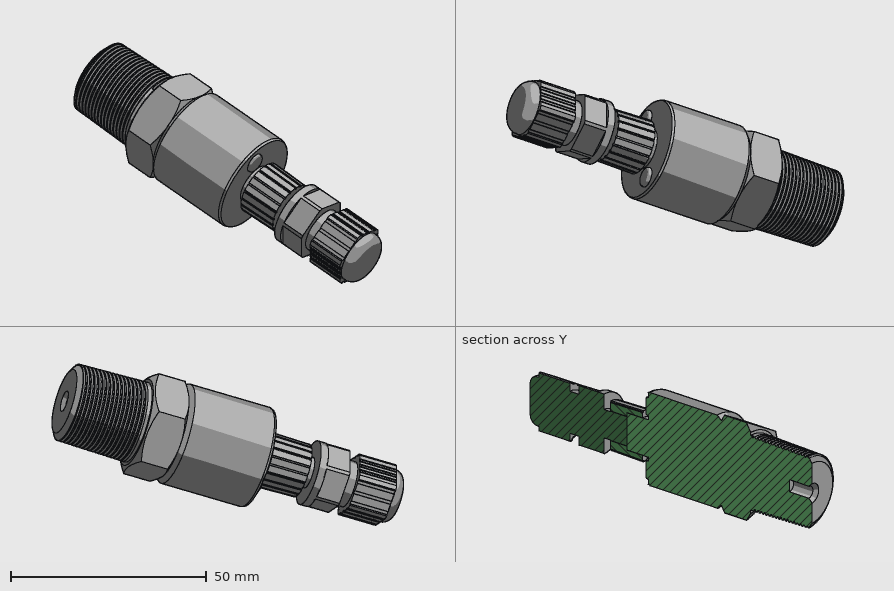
import cadquery as cq
import math


THREAD_END = 19.7
HEX_START = 19.9
HEX_END = 29.5
SLEEVE_END = 53.3
COUPLING_START = 55.0
COUPLING_END = 65.6
FLANGE_START = 67.5
FLANGE_END = 69.5
GLAND_HEX_END = 75.9
CAP_START = 78.6
CAP_END = 88.8
TOTAL_LENGTH = 91.7

TIP_DIAMETER = 17.0
TIP_CHAMFER_LENGTH = 1.1
CREST_RADIUS_TIP = 10.2
CREST_RADIUS_END = 10.6
THREAD_TURNS = 17.5
THREAD_DEPTH = 0.55
GROOVE_MOUTH = 0.7
GROOVE_OVERSHOOT = 0.2
PORT_DIAMETER = 3.3
PORT_MOUTH_DIAMETER = 5.4
PORT_DEPTH = 7.3
HEX_CORNERS = 27.7
HEX_FRONT_FACE_RADIUS = 11.5
HEX_CHAMFER_ANGLE = 30.0
SLEEVE_DIAMETER = 26.5
SLEEVE_FRONT_CHAMFER = 1.2
SLEEVE_REAR_CHAMFER_LENGTH = 0.6
SLEEVE_REAR_CHAMFER_DROP = 0.3
BUTTON_DIAMETER = 5.2
BUTTON_HEIGHT = 0.8
BUTTON_FILLET = 0.6
BUTTON_OFFSET = 9.0
SOCKET_DIAMETER = 10.7

COUPLING_START_DIAMETER = 14.5
COUPLING_END_DIAMETER = 14.0
KNURL_COUNT = 20
KNURL_WIDTH = 0.5
KNURL_DEPTH = 0.4

STEM_DIAMETER = 8.2
FLANGE_DIAMETER = 17.0
GLAND_HEX_FLATS = 15.1
GLAND_NECK_DIAMETER = 12.0
CAP_FLATS = 14.9
CAP_CORNER_DIAMETER = 16.5
CAP_GROOVE_WIDTH = 0.8
CAP_GROOVE_DEPTH = 0.3
CAP_GROOVES_PER_FLAT = 3
CLOSE_GROOVE_PITCH = 1.9
WIDE_GROOVE_PITCH = 2.8
DOME_DIAMETER = 14.0
DOME_FILLET = 2.6

MEETING_PLANE = (COUPLING_START + COUPLING_END) / 2


def cylinder(start, end, diameter):
    """Round bar on the X axis."""
    return cq.Workplane("YZ", origin=(start, 0, 0)).circle(diameter / 2).extrude(end - start)


def hexagon(start, end, corners):
    """Hexagonal bar on the X axis with two corners on +Z and -Z."""
    points = [
        (corners / 2 * math.sin(math.radians(60 * i)), corners / 2 * math.cos(math.radians(60 * i)))
        for i in range(6)
    ]
    return cq.Workplane("YZ", origin=(start, 0, 0)).polyline(points).close().extrude(end - start)


def revolved(profile):
    """Solid of revolution about X from (x, radius) points, closed along the axis."""
    points = [(profile[0][0], 0), *profile, (profile[-1][0], 0)]
    return cq.Workplane("XY").polyline(points).close().revolve(360, (0, 0, 0), (1, 0, 0))


def rounded_hexagon(start, end, flats, corner_diameter):
    """Hexagonal bar whose corners are turned down to a round diameter."""
    corners = flats / math.cos(math.radians(30))
    return hexagon(start, end, corners).intersect(cylinder(start, end, corner_diameter))


def thread_groove():
    """V groove along a helix that widens with the taper of the thread."""
    slope = (CREST_RADIUS_END - CREST_RADIUS_TIP) / (THREAD_END - TIP_CHAMFER_LENGTH)
    profile_depth = THREAD_DEPTH + GROOVE_OVERSHOOT
    half_width = GROOVE_MOUTH / 2 * profile_depth / THREAD_DEPTH
    helix_start = TIP_CHAMFER_LENGTH / 2
    helix_length = THREAD_END - half_width - helix_start
    start_radius = CREST_RADIUS_TIP - slope * (TIP_CHAMFER_LENGTH - helix_start)
    path = cq.Wire.makeHelix(
        helix_length / THREAD_TURNS, helix_length, start_radius, angle=math.degrees(math.atan(slope))
    )
    groove = (
        cq.Workplane("ZX")
        .moveTo(0, start_radius - THREAD_DEPTH)
        .lineTo(half_width, start_radius + GROOVE_OVERSHOOT)
        .lineTo(-half_width, start_radius + GROOVE_OVERSHOOT)
        .close()
        .sweep(cq.Workplane(path), isFrenet=True)
    )
    return groove.rotate((0, 0, 0), (0, 1, 0), 90).translate((helix_start, 0, 0))


def make_threaded_end():
    """Tapered threaded plug with a chamfered tip and a blind pressure port."""
    thread = revolved([
        (TIP_CHAMFER_LENGTH, CREST_RADIUS_TIP),
        (THREAD_END, CREST_RADIUS_END),
        (HEX_START, CREST_RADIUS_END),
    ]).cut(thread_groove())
    tip = revolved([
        (0, TIP_DIAMETER / 2),
        (TIP_CHAMFER_LENGTH, CREST_RADIUS_TIP),
    ])
    mouth_depth = (PORT_MOUTH_DIAMETER - PORT_DIAMETER) / 2
    port = revolved([
        (0, PORT_MOUTH_DIAMETER / 2),
        (mouth_depth, PORT_DIAMETER / 2),
        (PORT_DEPTH, PORT_DIAMETER / 2),
    ])
    return thread.union(tip).cut(port)


def make_housing_hexagon():
    """Wrench hexagon with conical chamfers at both ends."""
    corner_radius = HEX_CORNERS / 2
    rear_face_radius = SLEEVE_DIAMETER / 2 - SLEEVE_FRONT_CHAMFER
    slope = math.tan(math.radians(HEX_CHAMFER_ANGLE))
    envelope = revolved([
        (HEX_START, HEX_FRONT_FACE_RADIUS),
        (HEX_START + (corner_radius - HEX_FRONT_FACE_RADIUS) * slope, corner_radius),
        (HEX_END - (corner_radius - rear_face_radius) * slope, corner_radius),
        (HEX_END, rear_face_radius),
    ])
    return hexagon(HEX_START, HEX_END, HEX_CORNERS).intersect(envelope)


def make_sleeve():
    """Round sleeve, chamfered at both ends."""
    radius = SLEEVE_DIAMETER / 2
    return revolved([
        (HEX_END, radius - SLEEVE_FRONT_CHAMFER),
        (HEX_END + SLEEVE_FRONT_CHAMFER, radius),
        (SLEEVE_END - SLEEVE_REAR_CHAMFER_LENGTH, radius),
        (SLEEVE_END, radius - SLEEVE_REAR_CHAMFER_DROP),
    ])


def make_housing():
    """Threaded end, hexagon and sleeve with two rear buttons and the connector socket."""
    socket = cylinder(SLEEVE_END, MEETING_PLANE, SOCKET_DIAMETER)
    housing = make_sleeve().union(make_housing_hexagon()).union(make_threaded_end()).union(socket)
    button = (
        cylinder(SLEEVE_END, SLEEVE_END + BUTTON_HEIGHT, BUTTON_DIAMETER)
        .faces(">X").edges().fillet(BUTTON_FILLET)
    )
    for side in (-1, 1):
        housing = housing.union(button.translate((0, 0, side * BUTTON_OFFSET)))
    return housing


def make_coupling_nut():
    """Slightly tapered ring with straight knurl grooves, bored for socket and stem."""
    nut = revolved([
        (COUPLING_START, COUPLING_START_DIAMETER / 2),
        (COUPLING_END, COUPLING_END_DIAMETER / 2),
    ])
    groove = (
        cq.Workplane("XZ")
        .polyline([
            (COUPLING_START, COUPLING_START_DIAMETER / 2 - KNURL_DEPTH),
            (COUPLING_END, COUPLING_END_DIAMETER / 2 - KNURL_DEPTH),
            (COUPLING_END, COUPLING_START_DIAMETER / 2),
            (COUPLING_START, COUPLING_START_DIAMETER / 2),
        ])
        .close()
        .extrude(KNURL_WIDTH / 2, both=True)
    )
    for i in range(KNURL_COUNT):
        nut = nut.cut(groove.rotate((0, 0, 0), (1, 0, 0), i * 360 / KNURL_COUNT))
    nut = nut.cut(cylinder(COUPLING_START, MEETING_PLANE, SOCKET_DIAMETER))
    return nut.cut(cylinder(MEETING_PLANE, COUPLING_END, STEM_DIAMETER))


def make_cap():
    """Hexagonal gripping cap with grooved flats and a rounded end."""
    cap = rounded_hexagon(CAP_START, CAP_END, CAP_FLATS, CAP_CORNER_DIAMETER)
    for flat in range(6):
        pitch = CLOSE_GROOVE_PITCH if flat % 3 == 0 else WIDE_GROOVE_PITCH
        for i in range(CAP_GROOVES_PER_FLAT):
            offset = (i - (CAP_GROOVES_PER_FLAT - 1) / 2) * pitch
            groove = (
                cq.Workplane("XY")
                .box(CAP_END - CAP_START, 2 * CAP_GROOVE_DEPTH, CAP_GROOVE_WIDTH)
                .translate(((CAP_START + CAP_END) / 2, CAP_FLATS / 2, offset))
                .rotate((0, 0, 0), (1, 0, 0), flat * 60)
            )
            cap = cap.cut(groove)
    dome = cylinder(CAP_END, TOTAL_LENGTH, DOME_DIAMETER).faces(">X").edges().fillet(DOME_FILLET)
    return cap.union(dome)


def make_gland():
    """Stem, flange, hexagon, neck and gripping cap in one piece."""
    return (
        cylinder(MEETING_PLANE, FLANGE_START, STEM_DIAMETER)
        .union(cylinder(FLANGE_START, FLANGE_END, FLANGE_DIAMETER))
        .union(rounded_hexagon(FLANGE_END, GLAND_HEX_END, GLAND_HEX_FLATS, FLANGE_DIAMETER))
        .union(cylinder(GLAND_HEX_END, CAP_START, GLAND_NECK_DIAMETER))
        .union(make_cap())
    )


housing = make_housing()
coupling_nut = make_coupling_nut()
gland = make_gland()

result = cq.Compound.makeCompound([housing.val(), coupling_nut.val(), gland.val()])